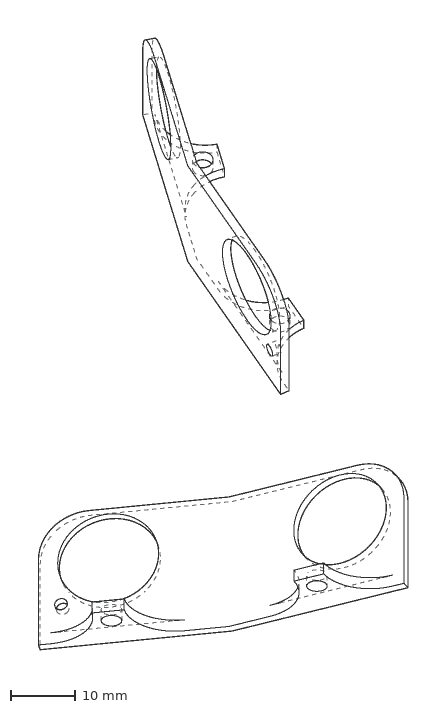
import cadquery as cq
import math

bend_angle = 7.5
overall_width = 60.4
plate_height = 23.5
plate_thickness = 1.5
corner_radius = 8.05

window_diameter = 16.0
window_offset = 19.4
window_height = 14.5

pin_hole_diameter = 2.0
pin_hole_offset = 26.9
pin_hole_height = 7.0

tab_thickness = 2.0
tab_tip_width = 5.15
tab_offset = 17.9
tab_depth = 9.55
tab_hole_diameter = 3.2
tab_hole_depth = 6.65

wing_length = overall_width / 2 / math.cos(math.radians(bend_angle))
flare_radius = tab_depth - plate_thickness
miter_overlap = plate_thickness


def wing_plate():
    """Flat wing along +X with its front face on Y = 0 and a rounded outer top corner."""
    return (
        cq.Workplane("XY")
        .box(wing_length + miter_overlap, plate_thickness, plate_height, centered=False)
        .translate((-miter_overlap, 0, 0))
        .edges("|Y and >X and >Z")
        .fillet(corner_radius)
    )


def cross_hole(offset, height, diameter):
    """Cylinder that cuts a round hole through the thickness of a flat wing."""
    return (
        cq.Workplane("XZ", origin=(offset, plate_thickness, height))
        .circle(diameter / 2)
        .extrude(plate_thickness)
    )


def mounting_tab():
    """Horizontal tab behind the wing, its sides flaring tangentially into the back face."""
    tip_half = tab_tip_width / 2
    root_half = tip_half + flare_radius
    arc_inset = flare_radius * math.sqrt(0.5)
    arc_mid_x = root_half - arc_inset
    arc_mid_y = tab_depth - arc_inset
    return (
        cq.Workplane("XY", origin=(tab_offset, 0, 0))
        .moveTo(-root_half, 0)
        .lineTo(root_half, 0)
        .lineTo(root_half, plate_thickness)
        .threePointArc((arc_mid_x, arc_mid_y), (tip_half, tab_depth))
        .lineTo(-tip_half, tab_depth)
        .threePointArc((-arc_mid_x, arc_mid_y), (-root_half, plate_thickness))
        .close()
        .moveTo(0, tab_hole_depth)
        .circle(tab_hole_diameter / 2)
        .extrude(tab_thickness)
    )


def swing_back(body):
    """Rotate a flat wing body about the vertical bend line."""
    return body.rotate((0, 0, 0), (0, 0, 1), bend_angle)


flat_wing = wing_plate().cut(cross_hole(window_offset, window_height, window_diameter))
flat_wing = flat_wing.union(mounting_tab())
right_side = cq.Workplane("XY").box(
    overall_width, overall_width, overall_width, centered=(False, True, True)
)
right_wing = swing_back(flat_wing).intersect(right_side)

left_wing = right_wing.mirror("YZ")
pin_hole = swing_back(cross_hole(pin_hole_offset, pin_hole_height, pin_hole_diameter))
result = right_wing.union(left_wing).cut(pin_hole)